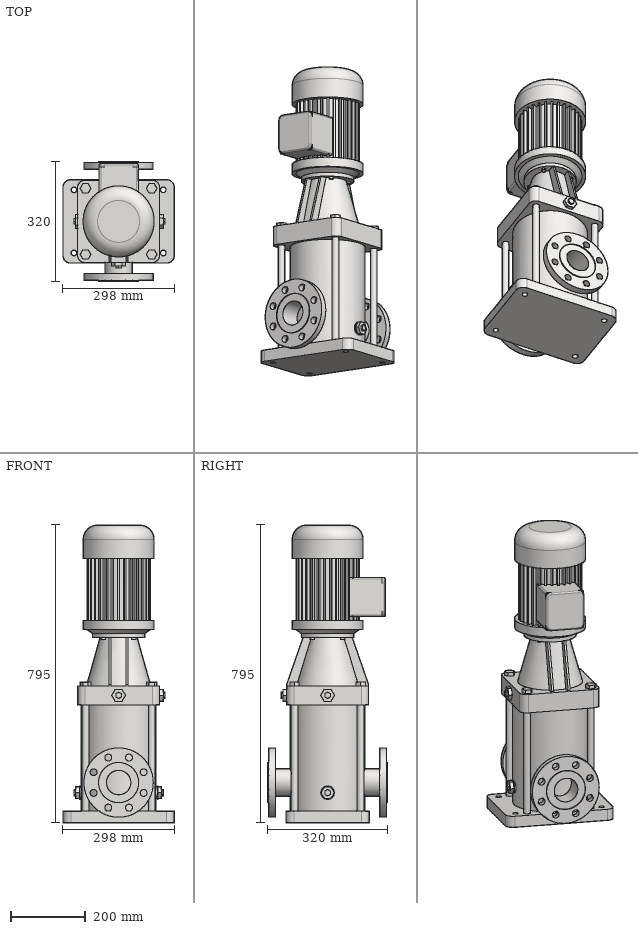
import cadquery as cq
import math


total_height = 795.0
base_height = 31.0
head_bottom = 315.0
head_top = 366.0
lantern_top = 494.5
spigot_top = 505.0
motor_flange_bottom = 516.0
motor_flange_top = 540.5
cowl_bottom = 705.0

base_length = 298.0
base_width = 223.0
base_corner_radius = 21.5
base_hole_diameter = 14.0
base_hole_x = 119.0
base_hole_y = 84.0

barrel_diameter = 200.0
head_width = 219.5
head_corner_radius = 20.0
rod_diameter = 18.0
rod_offset = 88.0
rod_bolt_across_flats = 25.0
rod_bolt_height = 9.5

port_height = 107.0
port_reach = 320.0 / 2
port_bore = 65.0
pipe_diameter = 74.0
flange_diameter = 185.0
flange_thickness = 19.0
raised_face_diameter = 107.0
raised_face_height = 2.0
flange_hole_diameter = 18.0
flange_hole_circle = 145.0
flange_hole_count = 8

plug_across_flats = 32.0
plug_head_height = 9.5
plug_tip_across_flats = 15.0
plug_tip_height = 5.0
head_plug_height = 340.0
drain_plug_height = 80.0
drain_neck_diameter = 32.0
drain_neck_length = 3.0
drain_washer_diameter = 36.0
drain_washer_thickness = 1.5

lantern_bottom_radius = 87.0
lantern_top_radius = 50.0
rib_thickness = 5.5
rib_spacing = 45.0
rib_top_reach = 66.0
rib_foot_height = 3.0
lantern_bolt_diameter = 12.0
lantern_bolt_height = 5.0
lantern_bolt_offset = 40.5

motor_diameter = 190.0
cowl_edge_radius = 39.0
spigot_diameter = 140.0
motor_taper_radius = 85.0
core_radius = 74.0
fin_tip_radius = 85.0
fin_thickness = 5.0
fin_count = 30

box_width = 105.0
box_bottom = 550.0
box_top = 655.0
box_reach = 154.0
box_edge_radius = 5.0
lid_thickness = 9.5
lid_corner_radius = 14.0
lid_edge_radius = 4.0

HEXAGON_SIDES = 6
overlap = 8.0


def cylinder(diameter, bottom, top):
    return cq.Workplane("XY").workplane(offset=bottom).circle(diameter / 2).extrude(top - bottom)


def hexagon_prism(across_flats, start, end):
    """Hexagonal prism along Z with two corners on the X axis."""
    across_corners = across_flats / math.cos(math.pi / HEXAGON_SIDES)
    base_plane = cq.Workplane("XY").workplane(offset=start)
    return base_plane.polygon(HEXAGON_SIDES, across_corners).extrude(end - start)


def square_points(x, y):
    return [(x, y), (-x, y), (-x, -y), (x, -y)]


def make_base():
    return (
        cq.Workplane("XY")
        .box(base_length, base_width, base_height, centered=(True, True, False))
        .edges("|Z")
        .fillet(base_corner_radius)
        .faces(">Z")
        .workplane()
        .pushPoints(square_points(base_hole_x, base_hole_y))
        .hole(base_hole_diameter)
    )


def make_head():
    return (
        cq.Workplane("XY")
        .workplane(offset=head_bottom)
        .rect(head_width, head_width)
        .extrude(head_top - head_bottom)
        .edges("|Z")
        .fillet(head_corner_radius)
    )


def make_tie_rods():
    rod = cylinder(rod_diameter, base_height - overlap, head_bottom + overlap)
    bolt = hexagon_prism(rod_bolt_across_flats, head_top - overlap, head_top + rod_bolt_height)
    rods = cq.Workplane("XY")
    for x, y in square_points(rod_offset, rod_offset):
        rods = rods.add(rod.translate((x, y, 0))).add(bolt.translate((x, y, 0)))
    return rods.combine()


def make_port():
    """Flanged pipe along Z from the shaft axis, bored down to the barrel wall."""
    flange_front = port_reach - raised_face_height
    port = cylinder(pipe_diameter, 0, flange_front)
    port = port.union(cylinder(flange_diameter, flange_front - flange_thickness, flange_front))
    port = port.union(cylinder(raised_face_diameter, flange_front - overlap, port_reach))
    half_pitch = 180 / flange_hole_count
    bolt_holes = (
        cq.Workplane("XY")
        .workplane(offset=flange_front - flange_thickness)
        .polarArray(flange_hole_circle / 2, half_pitch, 360, flange_hole_count)
        .circle(flange_hole_diameter / 2)
        .extrude(flange_thickness)
    )
    return port.cut(bolt_holes).cut(cylinder(port_bore, 0, port_reach))


def make_plug(seat):
    """Hexagon plug along Z, its head seated at `seat` and its tip turned by a quarter."""
    head_end = seat + plug_head_height
    head = hexagon_prism(plug_across_flats, seat - overlap, head_end)
    tip = hexagon_prism(plug_tip_across_flats, head_end - overlap, head_end + plug_tip_height)
    return head.union(tip.rotate((0, 0, 0), (0, 0, 1), 90))


def make_drain_plug():
    """Plug along Z on a neck and washer that stand on the barrel wall."""
    neck_end = barrel_diameter / 2 + drain_neck_length
    washer_end = neck_end + drain_washer_thickness
    plug = make_plug(washer_end)
    neck = cylinder(drain_neck_diameter, barrel_diameter / 2 - overlap, neck_end)
    washer = cylinder(drain_washer_diameter, neck_end, washer_end)
    return plug.cut(cylinder(2 * plug_across_flats, 0, neck_end)).union(washer).union(neck)


def face_sideways(feature, turn, height):
    """Lay a feature built along Z onto -Y, turn it about the shaft and lift it."""
    lying = feature.rotate((0, 0, 0), (1, 0, 0), 90)
    return lying.rotate((0, 0, 0), (0, 0, 1), turn).translate((0, 0, height))


def make_lantern():
    cone = (
        cq.Workplane("XZ")
        .moveTo(0, head_top)
        .lineTo(lantern_bottom_radius, head_top)
        .lineTo(lantern_top_radius, lantern_top)
        .lineTo(0, lantern_top)
        .close()
        .revolve(360, (0, 0, 0), (0, 1, 0))
    )
    rib_reach = head_width / 2
    rib = (
        cq.Workplane("YZ")
        .polyline(
            [
                (-rib_reach, head_top),
                (rib_reach, head_top),
                (rib_reach, head_top + rib_foot_height),
                (rib_top_reach, lantern_top),
                (-rib_top_reach, lantern_top),
                (-rib_reach, head_top + rib_foot_height),
            ]
        )
        .close()
        .extrude(rib_thickness / 2, both=True)
    )
    for x in (-rib_spacing / 2, rib_spacing / 2):
        cone = cone.union(rib.translate((x, 0, 0)))
    bolts = (
        cq.Workplane("XY")
        .workplane(offset=lantern_top - lantern_bolt_height)
        .pushPoints(square_points(lantern_bolt_offset, lantern_bolt_offset))
        .circle(lantern_bolt_diameter / 2)
        .extrude(lantern_bolt_height + overlap)
    )
    return cone.union(bolts)


def make_motor_body():
    motor_radius = motor_diameter / 2
    spigot_radius = spigot_diameter / 2
    arc_inset = cowl_edge_radius * (1 - math.sqrt(0.5))
    return (
        cq.Workplane("XZ")
        .moveTo(0, lantern_top)
        .lineTo(spigot_radius, lantern_top)
        .lineTo(spigot_radius, spigot_top)
        .lineTo(motor_taper_radius, motor_flange_bottom)
        .lineTo(motor_radius, motor_flange_bottom)
        .lineTo(motor_radius, motor_flange_top)
        .lineTo(core_radius, motor_flange_top)
        .lineTo(core_radius, cowl_bottom)
        .lineTo(motor_radius, cowl_bottom)
        .lineTo(motor_radius, total_height - cowl_edge_radius)
        .threePointArc(
            (motor_radius - arc_inset, total_height - arc_inset),
            (motor_radius - cowl_edge_radius, total_height),
        )
        .lineTo(0, total_height)
        .close()
        .revolve(360, (0, 0, 0), (0, 1, 0))
    )


def make_fins():
    """Cooling fins, one of them pointing along -Y."""
    fin_root = core_radius - overlap
    return (
        cq.Workplane("XY")
        .workplane(offset=motor_flange_top)
        .polarArray((fin_root + fin_tip_radius) / 2, -90, 360, fin_count)
        .rect(fin_tip_radius - fin_root, fin_thickness)
        .extrude(cowl_bottom - motor_flange_top)
    )


def make_terminal_box():
    box_height = box_top - box_bottom
    box_middle = (box_top + box_bottom) / 2
    lid_start = box_reach - lid_thickness

    def slab(start, end, corner_radius):
        return (
            cq.Workplane("XY")
            .box(box_width, end - start, box_height)
            .edges("|Y")
            .fillet(corner_radius)
            .translate((0, (start + end) / 2, box_middle))
        )

    body = slab(0, lid_start, box_edge_radius)
    lid = slab(lid_start, box_reach, lid_corner_radius).faces(">Y").edges().fillet(lid_edge_radius)
    return body.union(lid)


barrel = cylinder(barrel_diameter, base_height, head_bottom)
result = make_base().union(barrel)
for port_turn in (0, 180):
    port = face_sideways(make_port(), port_turn, port_height)
    result = result.union(port.cut(barrel))
result = result.union(make_head()).union(make_tie_rods())
for plug_turn in (0, 90):
    result = result.union(face_sideways(make_plug(head_width / 2), plug_turn, head_plug_height))
for plug_turn in (-90, 90):
    result = result.union(face_sideways(make_drain_plug(), plug_turn, drain_plug_height))
result = result.union(make_lantern())
result = result.union(make_motor_body().union(make_fins()).union(make_terminal_box()))